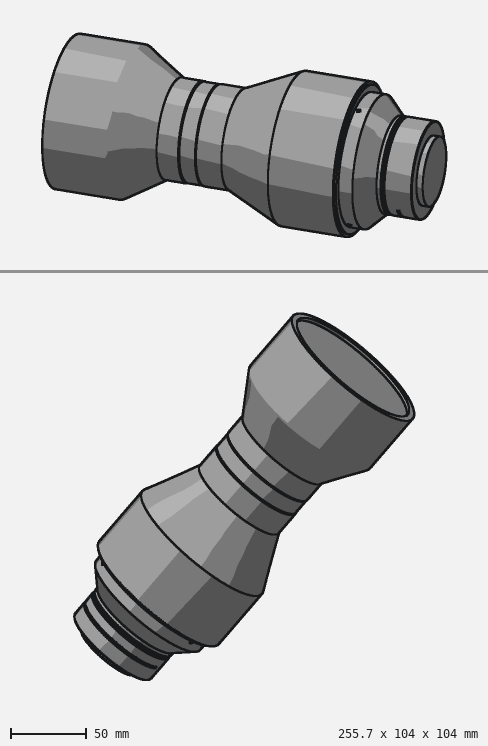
import cadquery as cq
import math

FRONT_X = 0.0
FRONT_BARREL_END = 45.1
NECK_START = 73.7
NECK_BAND_START = 88.7
NECK_BAND_END = 101.2
NECK_END = 118.9
BODY_START = 157.6
BODY_END = 203.0
FLANGE_END = 204.5
COLLAR_END = 214.2
RING_START = 226.8
RING_JOINT_START = 229.6
RING_JOINT_END = 232.4
RING_END = 251.3
OVERALL_LENGTH = 255.7

BODY_RADIUS = 52.0
NECK_RADIUS = 34.3
NECK_BAND_RADIUS = 34.0
FLANGE_RADIUS = 50.0
COLLAR_RADIUS = 45.2
RING_RADIUS = 33.0
SPIGOT_RADIUS = 23.5

BARREL_FILLET = 3.0
RING_JOINT_FLANK = 0.8
RING_JOINT_DEPTH = 0.4
RING_CHAMFER = 0.4
NECK_BAND_FLANK = 0.8

LENS_RADIUS = 47.7
LENS_EDGE_DEPTH = 2.5

SLOT_X = 239.9
SLOT_WIDTH = 1.5
SLOT_DEPTH = 2.2
SLOT_START_ANGLE = -145.5
SLOT_END_ANGLE = 48.0

HOLE_X = 207.3
HOLE_DIAMETER = 2.3
HOLE_DEPTH = 3.0
HOLE_COUNT = 3
HOLE_FIRST_ANGLE = 106.6

CUT_CLEARANCE = 1.0


def lens_arc_middle():
    """Point half way along the dome arc, from the apex to the lens edge."""
    dome_radius = (LENS_RADIUS**2 + LENS_EDGE_DEPTH**2) / (2 * LENS_EDGE_DEPTH)
    half_angle = math.asin(LENS_RADIUS / dome_radius) / 2
    sag = dome_radius * (1 - math.cos(half_angle))
    return (FRONT_X + sag, dome_radius * math.sin(half_angle))


def barrel_fillet_points():
    """Start, middle and end of the arc between the front barrel and its cone."""
    slope = math.atan2(BODY_RADIUS - NECK_RADIUS, NECK_START - FRONT_BARREL_END)
    start_x = FRONT_BARREL_END - BARREL_FILLET * math.tan(slope / 2)
    centre_radius = BODY_RADIUS - BARREL_FILLET
    return [
        (
            start_x + BARREL_FILLET * math.sin(turn),
            centre_radius + BARREL_FILLET * math.cos(turn),
        )
        for turn in (0, slope / 2, slope)
    ]


def turned_body():
    """Half section of the whole lens, revolved about the X axis."""
    fillet_start, fillet_middle, fillet_end = barrel_fillet_points()
    joint_radius = RING_RADIUS - RING_JOINT_DEPTH
    section = (
        cq.Workplane("XY")
        .moveTo(FRONT_X, 0)
        .threePointArc(lens_arc_middle(), (FRONT_X + LENS_EDGE_DEPTH, LENS_RADIUS))
        .lineTo(FRONT_X, LENS_RADIUS)
        .lineTo(FRONT_X, BODY_RADIUS)
        .lineTo(*fillet_start)
        .threePointArc(fillet_middle, fillet_end)
        .lineTo(NECK_START, NECK_RADIUS)
        .lineTo(NECK_BAND_START, NECK_RADIUS)
        .lineTo(NECK_BAND_START + NECK_BAND_FLANK, NECK_BAND_RADIUS)
        .lineTo(NECK_BAND_END - NECK_BAND_FLANK, NECK_BAND_RADIUS)
        .lineTo(NECK_BAND_END, NECK_RADIUS)
        .lineTo(NECK_END, NECK_RADIUS)
        .lineTo(BODY_START, BODY_RADIUS)
        .lineTo(BODY_END, BODY_RADIUS)
        .lineTo(BODY_END, FLANGE_RADIUS)
        .lineTo(FLANGE_END, FLANGE_RADIUS)
        .lineTo(FLANGE_END, COLLAR_RADIUS)
        .lineTo(COLLAR_END, COLLAR_RADIUS)
        .lineTo(RING_START, RING_RADIUS)
        .lineTo(RING_JOINT_START, RING_RADIUS)
        .lineTo(RING_JOINT_START + RING_JOINT_FLANK, joint_radius)
        .lineTo(RING_JOINT_END - RING_JOINT_FLANK, joint_radius)
        .lineTo(RING_JOINT_END, RING_RADIUS)
        .lineTo(RING_END - RING_CHAMFER, RING_RADIUS)
        .lineTo(RING_END, RING_RADIUS - RING_CHAMFER)
        .lineTo(RING_END, SPIGOT_RADIUS)
        .lineTo(OVERALL_LENGTH, SPIGOT_RADIUS)
        .lineTo(OVERALL_LENGTH, 0)
        .close()
    )
    return section.revolve(360, (0, 0, 0), (1, 0, 0))


def ring_slot():
    """Cutter for the narrow slot around part of the rear ring."""
    inner_radius = RING_RADIUS - SLOT_DEPTH
    height = SLOT_DEPTH + CUT_CLEARANCE
    section = cq.Workplane("XY").center(SLOT_X, inner_radius + height / 2).rect(SLOT_WIDTH, height)
    slot = section.revolve(
        SLOT_END_ANGLE - SLOT_START_ANGLE,
        (0, -inner_radius - height / 2, 0),
        (1, -inner_radius - height / 2, 0),
    )
    return slot.rotate((0, 0, 0), (1, 0, 0), SLOT_START_ANGLE)


def collar_holes():
    """Cutters for the radial holes, equally spaced around the collar."""
    floor_radius = COLLAR_RADIUS - HOLE_DEPTH
    drill = (
        cq.Workplane("XZ", origin=(HOLE_X, floor_radius, 0))
        .circle(HOLE_DIAMETER / 2)
        .extrude(-(HOLE_DEPTH + CUT_CLEARANCE))
    )
    drills = cq.Workplane("XY")
    for index in range(HOLE_COUNT):
        angle = HOLE_FIRST_ANGLE + index * 360 / HOLE_COUNT
        drills = drills.add(drill.rotate((0, 0, 0), (1, 0, 0), angle))
    return drills.combine()


result = turned_body().cut(ring_slot()).cut(collar_holes())